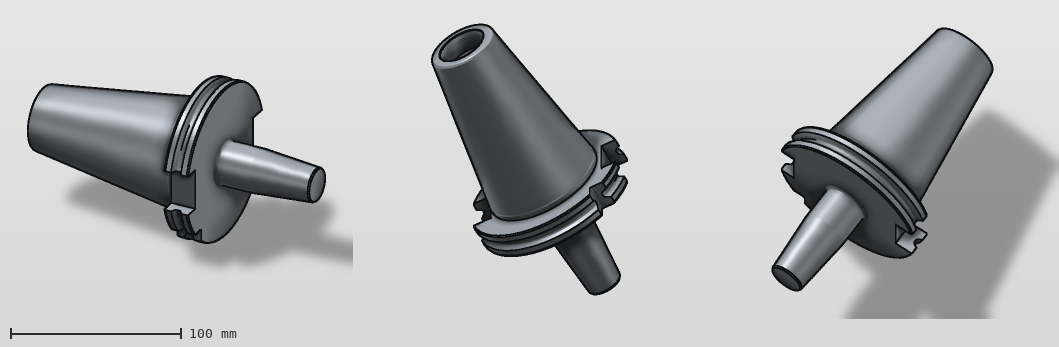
import cadquery as cq
import math

TAPER_LENGTH = 101.6
PROJECTION = 80.0
TOTAL_LENGTH = TAPER_LENGTH + PROJECTION

GAUGE_RADIUS = 69.85 / 2
TAPER_SLOPE = 7 / 24 / 2
SMALL_END_RADIUS = GAUGE_RADIUS - TAPER_LENGTH * TAPER_SLOPE
SMALL_END_FILLET = 2.0

COLLAR_START = TAPER_LENGTH - 1.0
COLLAR_RADIUS = 35.1
COLLAR_CHAMFER = 1.0
COLLAR_END = TAPER_LENGTH + 1.7
COLLAR_ROOT_RADIUS = 34.75

FLANGE_RADIUS = 97.5 / 2
FLANGE_START = TAPER_LENGTH + 3.2
FLANGE_END = TAPER_LENGTH + 19.05
FLANGE_CHAMFER_LENGTH = 1.0
FLANGE_CHAMFER_DEPTH = 0.45

GROOVE_CENTER = TAPER_LENGTH + 11.1
GROOVE_HALF_WIDTH = 3.25
GROOVE_FLOOR_RADIUS = 45.75
GROOVE_FILLET = 1.0
GROOVE_HALF_ANGLE = math.radians(30)
GROOVE_FLOOR_HALF_WIDTH = (
    GROOVE_HALF_WIDTH - (FLANGE_RADIUS - GROOVE_FLOOR_RADIUS) * math.tan(GROOVE_HALF_ANGLE)
)

NOSE_RADIUS = 27.0 / 2
TIP_RADIUS = 21.0 / 2
NOSE_CONE_ANGLE = math.radians(4.5)
NOSE_CONE_START = TOTAL_LENGTH - (NOSE_RADIUS - TIP_RADIUS) / math.tan(NOSE_CONE_ANGLE)
NOSE_ROOT_FILLET = 2.0
TIP_CHAMFER = 1.0
TIP_CHAMFER_DEPTH = 0.5

SLOT_WIDTH = 25.7
SLOT_FLOOR_PLUS_Y = 35.3
SLOT_FLOOR_MINUS_Y = 37.7
NOTCH_Y = -30.0
NOTCH_Z = -30.0
NOTCH_FILLET = 1.5

MOUTH_RADIUS = 14.65
MOUTH_CHAMFER = 0.4
LEAD_IN_DEPTH = 2.8
LEAD_IN_RADIUS = 13.5
PILOT_CONE_DEPTH = 7.5
PILOT_CONE_RADIUS = 12.65
PILOT_RADIUS = 12.5
PILOT_START = 8.3
PILOT_END = 11.0
THREAD_CHAMFER_RADIUS = 12.0
THREAD_CHAMFER_START = 11.4
THREAD_CORE_RADIUS = 10.4
THREAD_START = THREAD_CHAMFER_START + THREAD_CHAMFER_RADIUS - THREAD_CORE_RADIUS
BORE_DEPTH = 55.0
DRILL_HALF_ANGLE = math.radians(59)


def make_turned_body():
    """Taper, collar, flange and nose as one solid of revolution about X."""
    return (
        cq.Workplane("XY")
        .moveTo(0, 0)
        .lineTo(0, SMALL_END_RADIUS)
        .lineTo(COLLAR_START, SMALL_END_RADIUS + COLLAR_START * TAPER_SLOPE)
        .lineTo(COLLAR_START + COLLAR_CHAMFER, COLLAR_RADIUS)
        .lineTo(COLLAR_END, COLLAR_RADIUS)
        .lineTo(FLANGE_START, COLLAR_ROOT_RADIUS)
        .lineTo(FLANGE_START, FLANGE_RADIUS - FLANGE_CHAMFER_DEPTH)
        .lineTo(FLANGE_START + FLANGE_CHAMFER_LENGTH, FLANGE_RADIUS)
        .lineTo(FLANGE_END - FLANGE_CHAMFER_LENGTH, FLANGE_RADIUS)
        .lineTo(FLANGE_END, FLANGE_RADIUS - FLANGE_CHAMFER_DEPTH)
        .lineTo(FLANGE_END, NOSE_RADIUS + NOSE_ROOT_FILLET)
        .radiusArc((FLANGE_END + NOSE_ROOT_FILLET, NOSE_RADIUS), -NOSE_ROOT_FILLET)
        .lineTo(NOSE_CONE_START, NOSE_RADIUS)
        .lineTo(TOTAL_LENGTH - TIP_CHAMFER, TIP_RADIUS + TIP_CHAMFER * math.tan(NOSE_CONE_ANGLE))
        .lineTo(TOTAL_LENGTH, TIP_RADIUS - TIP_CHAMFER_DEPTH)
        .lineTo(TOTAL_LENGTH, 0)
        .close()
        .revolve(360, (0, 0, 0), (1, 0, 0))
        .faces("<X")
        .edges()
        .fillet(SMALL_END_FILLET)
    )


def make_groove():
    """Ring that cuts the V groove, with a small fillet at each side of its floor."""
    floor_start = GROOVE_CENTER - GROOVE_FLOOR_HALF_WIDTH
    floor_end = GROOVE_CENTER + GROOVE_FLOOR_HALF_WIDTH
    ring = (
        cq.Workplane("XY")
        .moveTo(GROOVE_CENTER - GROOVE_HALF_WIDTH, FLANGE_RADIUS)
        .lineTo(floor_start, GROOVE_FLOOR_RADIUS)
        .lineTo(floor_end, GROOVE_FLOOR_RADIUS)
        .lineTo(GROOVE_CENTER + GROOVE_HALF_WIDTH, FLANGE_RADIUS)
        .close()
        .revolve(360, (0, 0, 0), (1, 0, 0))
    )
    floor_edges = ring.edges(cq.selectors.RadiusNthSelector(0))
    return floor_edges.fillet(GROOVE_FILLET)


def make_bore():
    """Solid that cuts the bore, ending in a drill-point cone."""
    cone_depth = THREAD_CORE_RADIUS / math.tan(DRILL_HALF_ANGLE)
    return (
        cq.Workplane("XY")
        .moveTo(0, 0)
        .lineTo(0, MOUTH_RADIUS)
        .lineTo(MOUTH_CHAMFER, MOUTH_RADIUS - MOUTH_CHAMFER)
        .lineTo(LEAD_IN_DEPTH, LEAD_IN_RADIUS)
        .lineTo(PILOT_CONE_DEPTH, PILOT_CONE_RADIUS)
        .lineTo(PILOT_START, PILOT_RADIUS)
        .lineTo(PILOT_END, PILOT_RADIUS)
        .lineTo(THREAD_CHAMFER_START, THREAD_CHAMFER_RADIUS)
        .lineTo(THREAD_START, THREAD_CORE_RADIUS)
        .lineTo(BORE_DEPTH, THREAD_CORE_RADIUS)
        .lineTo(BORE_DEPTH + cone_depth, 0)
        .close()
        .revolve(360, (0, 0, 0), (1, 0, 0))
    )


def make_flange_cutter(y_inner, y_outer, z_low, z_high):
    """Block spanning the flange thickness over the given Y and Z ranges."""
    thickness = FLANGE_END - FLANGE_START
    block = cq.Workplane("XY").box(thickness, abs(y_outer - y_inner), z_high - z_low, centered=False)
    return block.translate((FLANGE_START, min(y_inner, y_outer), z_low))


def make_notch_cutter():
    """Block for the notch, open toward -Y and -Z, with its inner corner rounded."""
    block = make_flange_cutter(NOTCH_Y, -FLANGE_RADIUS, -FLANGE_RADIUS, NOTCH_Z)
    return block.edges("|X and >Y and >Z").fillet(NOTCH_FILLET)


result = make_turned_body().cut(make_groove()).cut(make_bore())
for slot_floor, flange_side in (
    (SLOT_FLOOR_PLUS_Y, FLANGE_RADIUS),
    (-SLOT_FLOOR_MINUS_Y, -FLANGE_RADIUS),
):
    slot = make_flange_cutter(slot_floor, flange_side, -SLOT_WIDTH / 2, SLOT_WIDTH / 2)
    result = result.cut(slot)
result = result.cut(make_notch_cutter())